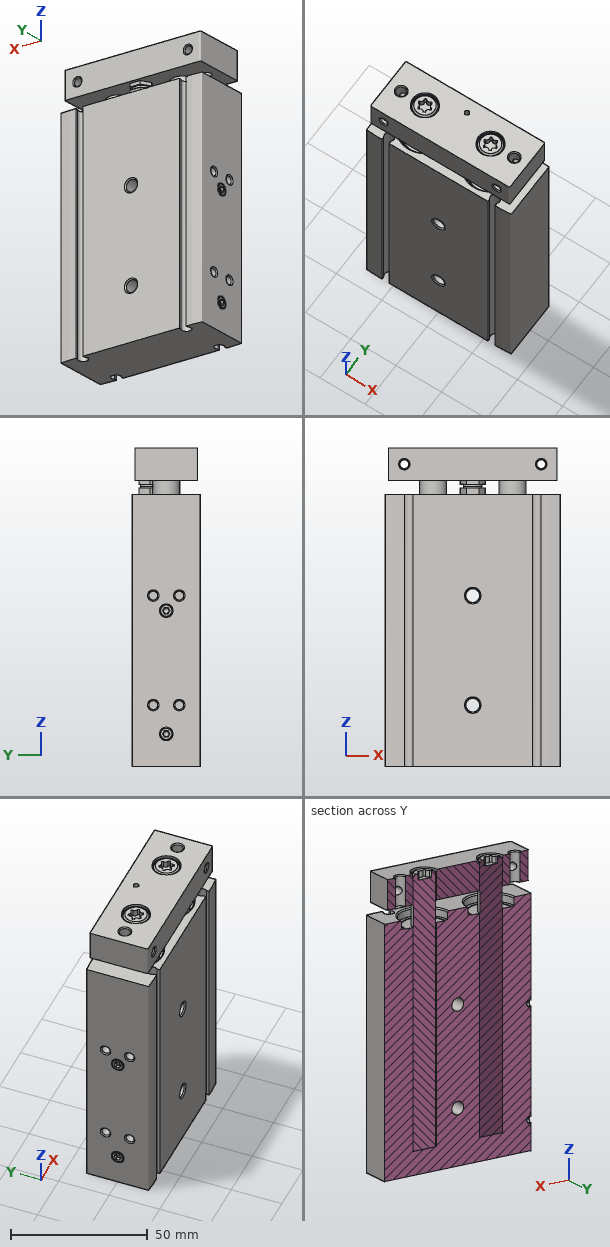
import cadquery as cq
import math

body_width = 64.0
body_depth = 25.0
body_height = 99.5
edge_taper_width = 4.0
edge_taper_drop = 0.25
body_corner_radius = 0.2

groove_x = 23.4
groove_mouth = 3.1
groove_bore_diameter = 4.0
groove_bore_depth = 2.35

mount_hole_diameter = 5.0
mount_hole_mouth = 6.0
mount_hole_levels = (22.5, 62.5)

side_hole_diameter = 3.24
side_hole_mouth = 4.13
side_hole_depth = 6.0
side_hole_y = 4.75
plug_diameter = 4.92
plug_face_diameter = 4.1
plug_socket_width = 2.3
plug_socket_depth = 1.2
plug_drill_diameter = 2.0
port_levels = (12.0, 57.0)
drill_tip_angle = 118.0
hex_sides = 6

rod_x = 14.5
rod_diameter = 10.0
rod_length_in_body = 90.0
rod_nose_diameter = 9.5
rod_end_diameter = 8.2
rod_nose_length = 0.2
rod_end_setback = 0.2
recess_diameter = 20.0
recess_mouth = 21.0
recess_depth = 3.3
seal_diameter = 17.2
seal_step = 0.2

socket_tip_diameter = 5.7
socket_waist_diameter = 4.0
socket_tip_radius = 0.45
socket_depth = 2.5
socket_lobes = 6

plate_width = 61.6
plate_depth = 23.0
plate_height = 12.0
plate_gap = 5.0
plate_corner_radius = 0.5
rod_hole_mouth = 10.5
plate_hole_x = 25.0
plate_top_hole_diameter = 4.13
plate_top_hole_mouth = 5.0
plate_cross_hole_diameter = 3.24
plate_cross_hole_mouth = 4.13

bolt_y = 6.0
hex_across_flats = 8.0
bolt_head_height = 2.4
head_collar_height = 0.4
collar_diameter = 6.88
shank_diameter = 5.0
shank_depth_in_plate = 7.0
nut_hex_height = 1.4
vent_diameter = 2.0

plate_bottom = body_height + plate_gap
plate_top = plate_bottom + plate_height
nut_bottom = body_height + bolt_head_height + head_collar_height
rod_end_chamfer = (rod_nose_diameter - rod_end_diameter) / 2
rod_mouth_depth = rod_end_setback + rod_end_chamfer + rod_nose_length
plate_middle = plate_bottom + plate_height / 2


def cylinder(diameter, start, length, direction):
    axis = cq.Vector(*direction)
    return cq.Workplane(cq.Solid.makeCylinder(diameter / 2, length, cq.Vector(*start), axis))


def cone(start_diameter, end_diameter, start, length, direction):
    solid = cq.Solid.makeCone(
        start_diameter / 2, end_diameter / 2, length, cq.Vector(*start), cq.Vector(*direction)
    )
    return cq.Workplane(solid)


def countersunk_hole(diameter, mouth, start, depth, direction):
    """A hole whose mouth is opened by a 45 degree chamfer."""
    hole = cylinder(diameter, start, depth, direction)
    return hole.union(cone(mouth, diameter, start, (mouth - diameter) / 2, direction))


def across_corners(across_flats):
    return across_flats / math.cos(math.pi / hex_sides)


def hex_prism(bottom, height):
    base = cq.Workplane("XY", origin=(0, bolt_y, bottom))
    return base.polygon(hex_sides, across_corners(hex_across_flats)).extrude(height)


def body_block():
    x = body_width / 2
    y = body_depth / 2
    outline = [
        (x, y - edge_taper_drop),
        (x - edge_taper_width, y),
        (edge_taper_width - x, y),
        (-x, y - edge_taper_drop),
        (-x, edge_taper_drop - y),
        (edge_taper_width - x, -y),
        (x - edge_taper_width, -y),
        (x, edge_taper_drop - y),
    ]
    block = cq.Workplane("XY").polyline(outline).close().extrude(body_height)
    return block.edges("|Z and (<X or >X)").fillet(body_corner_radius)


def sensor_groove(x, side):
    bore_y = side * (body_depth / 2 - groove_bore_depth)
    bore = cylinder(groove_bore_diameter, (x, bore_y, 0), body_height, (0, 0, 1))
    slot = cq.Workplane("XY").box(groove_mouth, groove_bore_depth, body_height, centered=(True, True, False))
    return bore.union(slot.translate((x, bore_y + side * groove_bore_depth / 2, 0)))


def port_plug_recesses(level):
    """The bevel around a flush plug, and its hex socket ending in a drill point."""
    face = (-body_width / 2, 0, level)
    inward = (1, 0, 0)
    bevel_depth = (plug_diameter - plug_face_diameter) / 2
    bevel = cylinder(plug_diameter, face, bevel_depth, inward)
    bevel = bevel.cut(cone(plug_face_diameter, plug_diameter, face, bevel_depth, inward))
    socket = cq.Workplane("YZ", origin=face).polygon(hex_sides, across_corners(plug_socket_width))
    socket = socket.extrude(plug_socket_depth)
    floor = (face[0] + plug_socket_depth, 0, level)
    tip_length = plug_drill_diameter / 2 / math.tan(math.radians(drill_tip_angle / 2))
    return bevel, socket.union(cone(plug_drill_diameter, 0, floor, tip_length, inward))


def rod_recess(x):
    down = (0, 0, -1)
    recess = countersunk_hole(recess_diameter, recess_mouth, (x, 0, body_height), recess_depth, down)
    seal = cylinder(seal_diameter, (x, 0, body_height), recess_depth + seal_step, down)
    bore = cylinder(rod_diameter, (x, 0, body_height), rod_length_in_body, down)
    return recess.union(seal).union(bore)


def make_body():
    body = body_block()
    for x in (-groove_x, groove_x):
        for side in (-1, 1):
            body = body.cut(sensor_groove(x, side))
    for level in mount_hole_levels:
        for side in (-1, 1):
            start = (0, side * body_depth / 2, level)
            body = body.cut(
                countersunk_hole(mount_hole_diameter, mount_hole_mouth, start, body_depth / 2, (0, -side, 0))
            )
        for y in (-side_hole_y, side_hole_y):
            start = (-body_width / 2, y, level)
            body = body.cut(
                countersunk_hole(side_hole_diameter, side_hole_mouth, start, side_hole_depth, (1, 0, 0))
            )
    for level in port_levels:
        for recess in port_plug_recesses(level):
            body = body.cut(recess)
    for x in (-rod_x, rod_x):
        body = body.cut(rod_recess(x))
    return body


def socket_outline():
    """Six rounded tips joined by arcs that dip to the waist between them."""
    tip = socket_tip_diameter / 2
    waist = socket_waist_diameter / 2
    step = 2 * math.pi / socket_lobes

    def around(angle, along, across):
        return (
            along * math.cos(angle) - across * math.sin(angle),
            along * math.sin(angle) + across * math.cos(angle),
        )

    shoulder = tip - socket_tip_radius
    sketch = cq.Workplane("XY").moveTo(*around(0, shoulder, -socket_tip_radius))
    for lobe in range(socket_lobes):
        angle = lobe * step
        sketch = sketch.threePointArc(around(angle, tip, 0), around(angle, shoulder, socket_tip_radius))
        next_shoulder = around(angle + step, shoulder, -socket_tip_radius)
        sketch = sketch.threePointArc(around(angle + step / 2, waist, 0), next_shoulder)
    return sketch.close()


def make_rod(x):
    rod_top = plate_top - rod_end_setback
    rod_bottom = body_height - rod_length_in_body
    shoulder = plate_top - rod_mouth_depth
    rod = cylinder(rod_diameter, (0, 0, rod_bottom), shoulder - rod_bottom, (0, 0, 1))
    nose = cylinder(rod_nose_diameter, (0, 0, shoulder), rod_top - shoulder, (0, 0, 1))
    rod = rod.union(nose).faces(">Z").chamfer(rod_end_chamfer)
    socket = socket_outline().extrude(-socket_depth).translate((0, 0, rod_top))
    return rod.cut(socket).translate((x, 0, 0))


def make_plate():
    plate = cq.Workplane("XY", origin=(0, 0, plate_bottom)).box(
        plate_width, plate_depth, plate_height, centered=(True, True, False)
    )
    plate = plate.edges("|Z").fillet(plate_corner_radius)
    down = (0, 0, -1)
    for x in (-rod_x, rod_x):
        plate = plate.cut(cylinder(rod_diameter, (x, 0, plate_top), plate_height, down))
        plate = plate.cut(cylinder(rod_hole_mouth, (x, 0, plate_top), rod_mouth_depth, down))
    for x in (-plate_hole_x, plate_hole_x):
        plate = plate.cut(
            countersunk_hole(
                plate_top_hole_diameter, plate_top_hole_mouth, (x, 0, plate_top), plate_height, down
            )
        )
        for side in (-1, 1):
            start = (x, side * plate_depth / 2, plate_middle)
            plate = plate.cut(
                countersunk_hole(
                    plate_cross_hole_diameter, plate_cross_hole_mouth, start, plate_depth / 2, (0, -side, 0)
                )
            )
    shank_hole = cylinder(shank_diameter, (0, bolt_y, plate_bottom), shank_depth_in_plate, (0, 0, 1))
    vent = cylinder(vent_diameter, (0, bolt_y, plate_bottom), plate_height, (0, 0, 1))
    return plate.cut(shank_hole).cut(vent)


def make_stop_bolt():
    head = hex_prism(body_height, bolt_head_height)
    collar = cylinder(collar_diameter, (0, bolt_y, body_height), nut_bottom - body_height, (0, 0, 1))
    shank_length = plate_gap + shank_depth_in_plate
    shank = cylinder(shank_diameter, (0, bolt_y, body_height), shank_length, (0, 0, 1))
    return head.union(collar).union(shank)


def make_lock_nut():
    nut_height = plate_bottom - nut_bottom
    nut = hex_prism(plate_bottom - nut_hex_height, nut_hex_height)
    nut = nut.union(cylinder(collar_diameter, (0, bolt_y, nut_bottom), nut_height, (0, 0, 1)))
    return nut.cut(cylinder(shank_diameter, (0, bolt_y, nut_bottom), nut_height, (0, 0, 1)))


body = make_body()
plate = make_plate()
rods = [make_rod(x) for x in (-rod_x, rod_x)]
stop_bolt = make_stop_bolt()
lock_nut = make_lock_nut()

result = cq.Compound.makeCompound(
    [body.val(), plate.val(), *[rod.val() for rod in rods], stop_bolt.val(), lock_nut.val()]
)